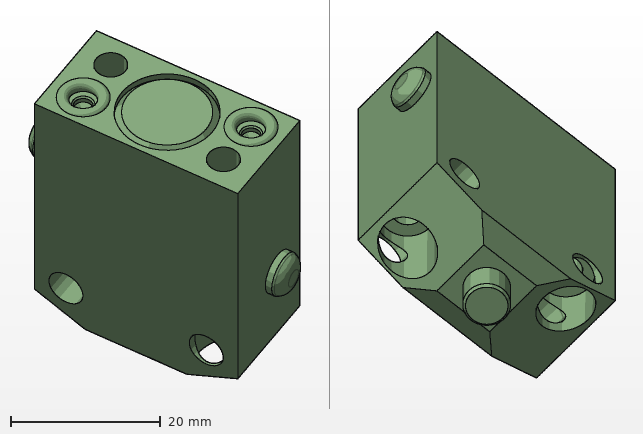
import cadquery as cq
import math

TOTAL_HEIGHT = 45.8
TOTAL_LENGTH = 36.8
BODY_WIDTH = 15.9
BUTTON_LENGTH = 2.45
BODY_LENGTH = TOTAL_LENGTH - 2 * BUTTON_LENGTH
RING_HEIGHT = 0.4

STEM_LENGTH = 4.75
BODY_BOTTOM = STEM_LENGTH
BODY_TOP = TOTAL_HEIGHT - RING_HEIGHT
BOTTOM_LENGTH = 9.45
BOTTOM_WIDTH = 9.45
TAPER_ANGLE = 23.5

STEM_DIAMETER = 6.4
STEM_CHAMFER = 0.35

HOLE_OFFSET_X = 11.0
HOLE_OFFSET_Y = 3.53
VERTICAL_HOLE_DIAMETER = 4.55
COUNTERBORE_DIAMETER = 8.0
CROSS_HOLE_DIAMETER = 5.3
CROSS_HOLE_Z = 12.5
COUNTERBORE_CEILING = CROSS_HOLE_Z + CROSS_HOLE_DIAMETER

WINDOW_DIAMETER = 14.15
WINDOW_DISC_DIAMETER = 12.2
WINDOW_GROOVE_DEPTH = 1.0

RING_TUBE_RADIUS = 0.9
RING_MEAN_RADIUS = 2.85
SCREW_DEPTH = 1.37
SOCKET_DIAMETER = 3.1
SOCKET_CHAMFER = 0.25
SOCKET_DEPTH = 0.9
SOCKET_CONE_DEPTH = 0.8

BUTTON_RADIUS = 3.2
BUTTON_COLLAR_LENGTH = 1.0
BUTTON_BEVEL_LENGTH = 0.3
BUTTON_BEVEL_DEPTH = 0.15
BUTTON_FLAT_RADIUS = 1.3
LEFT_BUTTON_Y = -HOLE_OFFSET_Y
LEFT_BUTTON_Z = 34.75
RIGHT_BUTTON_Y = 2.3
RIGHT_BUTTON_Z = 21.3


def tapered_prism(plane, width, bottom_width, depth):
    """Prism whose lower corners slope in to a narrower bottom."""
    half = width / 2
    half_bottom = bottom_width / 2
    corner_z = BODY_BOTTOM + (half - half_bottom) * math.tan(math.radians(TAPER_ANGLE))
    outline = [
        (-half_bottom, BODY_BOTTOM),
        (half_bottom, BODY_BOTTOM),
        (half, corner_z),
        (half, BODY_TOP),
        (-half, BODY_TOP),
        (-half, corner_z),
    ]
    return cq.Workplane(plane).polyline(outline).close().extrude(depth / 2, both=True)


def cylinder_z(x, y, z, diameter, height):
    """Upright cylinder standing on height z."""
    return cq.Workplane("XY", origin=(x, y, z)).circle(diameter / 2).extrude(height)


def make_body():
    """Block tapered to the bottom on all four sides."""
    long_profile = tapered_prism("XZ", BODY_LENGTH, BOTTOM_LENGTH, BODY_WIDTH)
    short_profile = tapered_prism("YZ", BODY_WIDTH, BOTTOM_WIDTH, BODY_LENGTH)
    return long_profile.intersect(short_profile)


def make_stem():
    """Round stem under the body, chamfered at its lower end."""
    stem = cylinder_z(0, 0, 0, STEM_DIAMETER, STEM_LENGTH)
    return stem.faces("<Z").chamfer(STEM_CHAMFER)


def make_window_groove():
    """Groove with an upright outer wall and a conical inner wall."""
    disc_radius = WINDOW_DISC_DIAMETER / 2
    outer_radius = WINDOW_DIAMETER / 2
    section = [
        (disc_radius, BODY_TOP),
        (outer_radius, BODY_TOP),
        (outer_radius, BODY_TOP - WINDOW_GROOVE_DEPTH),
    ]
    return cq.Workplane("XZ").polyline(section).close().revolve(360, (0, 0), (0, 1))


def make_screw_ring(x, y):
    """Ring of round section, sunk into the top face and set slightly into the screw face."""
    ring_z = BODY_TOP + RING_HEIGHT - RING_TUBE_RADIUS
    centre = cq.Vector(x, y, ring_z)
    ring = cq.Solid.makeTorus(RING_MEAN_RADIUS, RING_TUBE_RADIUS, centre, cq.Vector(0, 0, 1))
    return cq.Workplane(ring)


def make_screw_well(x, y):
    """Well under a ring: flat screw face and a socket with a conical bottom."""
    face_z = BODY_TOP - SCREW_DEPTH
    socket_radius = SOCKET_DIAMETER / 2
    bore_radius = socket_radius - SOCKET_CHAMFER
    section = [
        (0, BODY_TOP),
        (RING_MEAN_RADIUS, BODY_TOP),
        (RING_MEAN_RADIUS, face_z),
        (socket_radius, face_z),
        (bore_radius, face_z - SOCKET_CHAMFER),
        (bore_radius, face_z - SOCKET_DEPTH),
        (0, face_z - SOCKET_DEPTH - SOCKET_CONE_DEPTH),
    ]
    well = cq.Workplane("XZ").polyline(section).close().revolve(360, (0, 0), (0, 1))
    return well.translate((x, y, 0))


def make_button(side, y, z):
    """Domed button on the -X face (side = -1) or the +X face (side = 1)."""
    bevel_end = BUTTON_COLLAR_LENGTH + BUTTON_BEVEL_LENGTH
    dome_radius = BUTTON_RADIUS - BUTTON_BEVEL_DEPTH
    dome_drop = dome_radius - BUTTON_FLAT_RADIUS
    dome_length = BUTTON_LENGTH - bevel_end
    arc_radius = (dome_length**2 + dome_drop**2) / (2 * dome_length)
    arc_angle = math.asin(dome_drop / arc_radius) / 2
    arc_middle = (
        BUTTON_LENGTH - arc_radius * (1 - math.cos(arc_angle)),
        BUTTON_FLAT_RADIUS + arc_radius * math.sin(arc_angle),
    )
    button = (
        cq.Workplane("XY")
        .lineTo(0, BUTTON_RADIUS)
        .lineTo(BUTTON_COLLAR_LENGTH, BUTTON_RADIUS)
        .lineTo(bevel_end, dome_radius)
        .threePointArc(arc_middle, (BUTTON_LENGTH, BUTTON_FLAT_RADIUS))
        .lineTo(BUTTON_LENGTH, 0)
        .close()
        .revolve(360, (0, 0), (1, 0))
    )
    if side < 0:
        button = button.mirror("YZ")
    return button.translate((side * BODY_LENGTH / 2, y, z))


result = make_body().union(make_stem()).cut(make_window_groove())

for side in (-1, 1):
    x = side * HOLE_OFFSET_X
    hole_y = -side * HOLE_OFFSET_Y
    screw_y = side * HOLE_OFFSET_Y

    result = result.cut(cylinder_z(x, hole_y, 0, VERTICAL_HOLE_DIAMETER, TOTAL_HEIGHT))
    result = result.cut(cylinder_z(x, hole_y, 0, COUNTERBORE_DIAMETER, COUNTERBORE_CEILING))
    cross_hole = (
        cq.Workplane("XZ")
        .center(x, CROSS_HOLE_Z)
        .circle(CROSS_HOLE_DIAMETER / 2)
        .extrude(BODY_WIDTH, both=True)
    )
    result = result.cut(cross_hole)
    result = result.cut(make_screw_well(x, screw_y)).union(make_screw_ring(x, screw_y))

result = result.union(make_button(-1, LEFT_BUTTON_Y, LEFT_BUTTON_Z))
result = result.union(make_button(1, RIGHT_BUTTON_Y, RIGHT_BUTTON_Z))